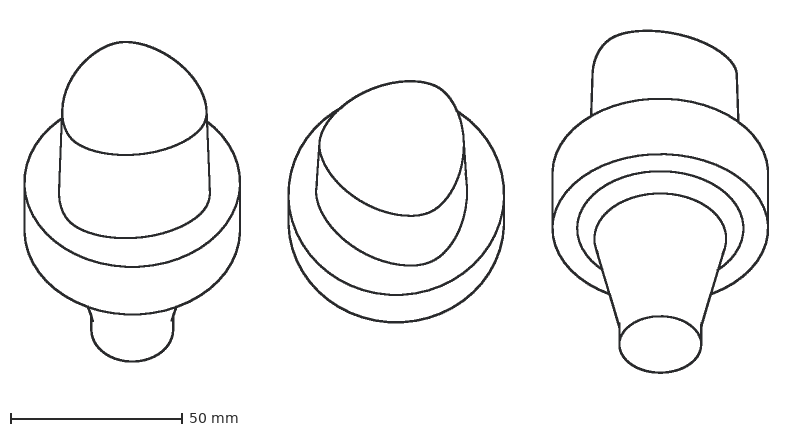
import cadquery as cq
import math

total_height = 107.0
flange_top = 69.1
flange_bottom = 46.8
neck_cone_top = 42.6
pilot_top = 8.2

flange_diameter = 63.0
collar_diameter = 48.6
neck_diameter = 38.5
pilot_diameter = 24.0

shank_base_width = 44.1
shank_taper = 1 / 20
lobe_eccentricity = 1.4
outline_points = 72

shank_length = total_height - flange_top
shank_top_width = shank_base_width - shank_taper * shank_length


def lobed_point(mean_radius, angle):
    """Point of the constant-width trilobe curve, with angle 0 at the lobe facing -Y."""
    along_lobe = (
        mean_radius * math.cos(angle)
        + 2 * lobe_eccentricity * math.cos(2 * angle)
        - lobe_eccentricity * math.cos(4 * angle)
    )
    across_lobe = (
        mean_radius * math.sin(angle)
        - 2 * lobe_eccentricity * math.sin(2 * angle)
        - lobe_eccentricity * math.sin(4 * angle)
    )
    return across_lobe, -along_lobe


def lobed_outline(width):
    step = 2 * math.pi / outline_points
    return [lobed_point(width / 2, i * step) for i in range(outline_points)]


def make_shank():
    return (
        cq.Workplane("XY", origin=(0, 0, flange_top))
        .spline(lobed_outline(shank_base_width), periodic=True)
        .close()
        .workplane(offset=shank_length)
        .spline(lobed_outline(shank_top_width), periodic=True)
        .close()
        .loft(ruled=True, combine=True)
    )


def make_turned_body():
    """Flange, conical collar, tapered neck and cylindrical pilot in one revolution."""
    profile = [
        (0, 0),
        (pilot_diameter / 2, 0),
        (pilot_diameter / 2, pilot_top),
        (neck_diameter / 2, neck_cone_top),
        (collar_diameter / 2, flange_bottom),
        (flange_diameter / 2, flange_bottom),
        (flange_diameter / 2, flange_top),
        (0, flange_top),
    ]
    return cq.Workplane("XZ").polyline(profile).close().revolve(360, (0, 0), (0, 1))


result = make_turned_body().union(make_shank())